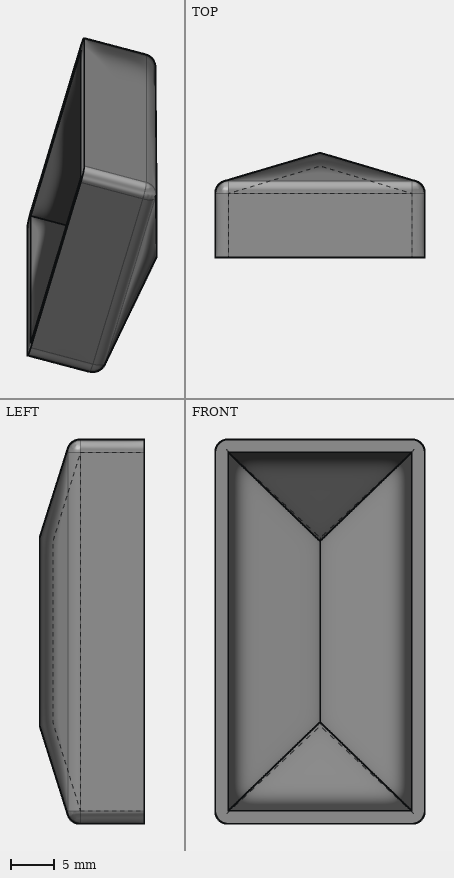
import cadquery as cq

width = 24.0
height = 44.0
depth = 12.0
wall = 1.5
edge_radius = 1.5

eave_depth = 8.45
ridge_length = 21.5

cavity_eave_depth = 7.35
cavity_peak_depth = 10.5
cavity_ridge_length = 20.7

open_face_y = -depth / 2


def hipped_block(size_x, size_z, eave, peak, ridge):
    """Box rising from the open face to the eave, topped by a hip roof with its ridge along Z."""
    eave_y = open_face_y + eave
    peak_y = open_face_y + peak
    long_slopes = (
        cq.Workplane("XY", origin=(0, 0, -size_z / 2))
        .moveTo(-size_x / 2, open_face_y)
        .lineTo(size_x / 2, open_face_y)
        .lineTo(size_x / 2, eave_y)
        .lineTo(0, peak_y)
        .lineTo(-size_x / 2, eave_y)
        .close()
        .extrude(size_z)
    )
    end_slopes = (
        cq.Workplane("YZ", origin=(-size_x / 2, 0, 0))
        .moveTo(open_face_y, -size_z / 2)
        .lineTo(eave_y, -size_z / 2)
        .lineTo(peak_y, -ridge / 2)
        .lineTo(peak_y, ridge / 2)
        .lineTo(eave_y, size_z / 2)
        .lineTo(open_face_y, size_z / 2)
        .close()
        .extrude(size_x)
    )
    return long_slopes.intersect(end_slopes)


def outer_body():
    """Hipped block with its four corner edges and its eaves rounded."""
    block = hipped_block(width, height, eave_depth, depth, ridge_length)
    corners = block.edges("|Y")
    eave_y = open_face_y + eave_depth
    eave_band = cq.selectors.BoxSelector(
        (-width, eave_y - edge_radius / 2, -height),
        (width, eave_y + edge_radius / 2, height),
    )
    eaves = block.edges(eave_band)
    return corners.add(eaves).fillet(edge_radius)


def cavity():
    """Sharp-cornered hollow with a hip-shaped floor, open at the open face."""
    return hipped_block(
        width - 2 * wall,
        height - 2 * wall,
        cavity_eave_depth,
        cavity_peak_depth,
        cavity_ridge_length,
    )


result = outer_body().cut(cavity())